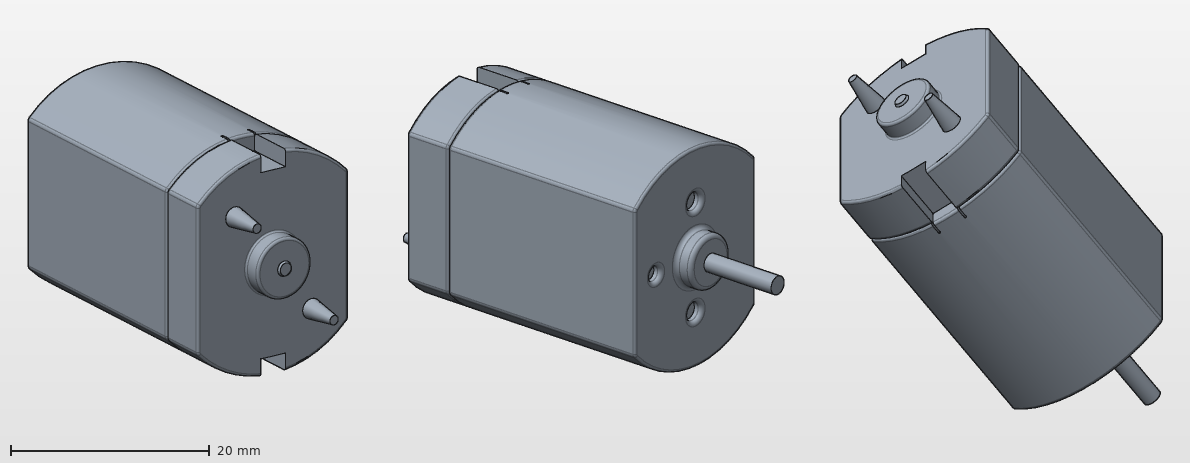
import cadquery as cq
import math


overall_length = 45.5

body_width = 18.4
body_height = 24.0
can_length = 25.0
cap_length = 5.5
edge_radius = 0.3
corner_height = 15.95
corner_radius = 0.6

shaft_radius = 1.0
shaft_reach = 11.0
pivot_radius = 0.8
pivot_tip_radius = 0.7
pivot_reach = 0.27

front_boss_radius = 3.0
front_boss_length = 2.05
front_boss_fillet = 0.5

rear_boss_radius = 3.28
rear_boss_length = 2.0
rear_boss_base_fillet = 0.2
rear_boss_edge_fillet = 0.3

screw_hole_offset = 6.0
screw_hole_radius = 1.0
locating_hole_radius = 0.8
hole_depth = 1.0
hole_lip_radius = 0.5

slot_width = 3.0
slot_floor_height = 10.0
slit_width = 0.2
slit_length = 1.3

terminal_y = 4.7
terminal_z = 5.9
terminal_base_radius = 1.1
terminal_tip_radius = 0.5

cap_rear = can_length + cap_length
slot_heights = ((-body_height, -slot_floor_height), (slot_floor_height, body_height))
rear_boss_end = cap_rear + rear_boss_length
terminal_length = overall_length - shaft_reach - cap_rear


def body_block(start, length):
    """Block with flat sides and arched top and bottom, all its edges rounded."""
    half_width = body_width / 2
    half_height = body_height / 2
    half_flat = corner_height / 2
    block = (
        cq.Workplane("YZ", origin=(start, 0, 0))
        .moveTo(-half_width, -half_flat)
        .threePointArc((0, -half_height), (half_width, -half_flat))
        .lineTo(half_width, half_flat)
        .threePointArc((0, half_height), (-half_width, half_flat))
        .close()
        .extrude(length)
    )
    return block.edges("|X").fillet(corner_radius).faces("<X or >X").edges().fillet(edge_radius)


def rod(start, end, radius):
    """Cylinder on the motor axis."""
    return cq.Workplane("YZ", origin=(start, 0, 0)).circle(radius).extrude(end - start)


def turned(half_profile):
    """Solid of revolution about X from a profile that ends on that axis."""
    return half_profile.close().revolve(360, (0, 0, 0), (1, 0, 0))


def lipped_hole(y, z, radius):
    """Cutter for a blind hole with a rounded lip in the seating face."""
    mouth = radius + hole_lip_radius
    bend = hole_lip_radius * (1 - math.sqrt(0.5))
    half_profile = (
        cq.Workplane("XZ")
        .lineTo(0, mouth)
        .threePointArc((bend, radius + bend), (hole_lip_radius, radius))
        .lineTo(hole_depth, radius)
        .lineTo(hole_depth, 0)
    )
    return turned(half_profile).translate((0, y, z))


def box_between(x, y, z):
    """Box spanning the given (low, high) pairs."""
    size = [high - low for low, high in (x, y, z)]
    return cq.Workplane("XY").box(*size, centered=False).translate((x[0], y[0], z[0]))


def edges_near(x):
    """Selector for the boss edges lying in the plane at the given X."""
    slack = 0.05
    reach = max(front_boss_radius, rear_boss_radius) + front_boss_fillet
    low = (x - slack, -reach, -reach)
    high = (x + slack, reach, reach)
    return cq.selectors.BoxSelector(low, high, boundingbox=True)


def make_shaft():
    """Shaft through the whole motor, stepped down to a pivot in the rear boss."""
    profile = [
        (-shaft_reach, 0),
        (-shaft_reach, shaft_radius),
        (cap_rear, shaft_radius),
        (cap_rear, pivot_radius),
        (rear_boss_end, pivot_radius),
        (rear_boss_end + pivot_reach, pivot_tip_radius),
        (rear_boss_end + pivot_reach, 0),
    ]
    return turned(cq.Workplane("XZ").polyline(profile))


def make_can(shaft):
    """Can with its front boss, mounting holes and the slits that free the latch tongues."""
    can = body_block(0, can_length)
    can = can.union(rod(-front_boss_length, edge_radius, front_boss_radius))
    can = can.edges(edges_near(0)).fillet(front_boss_fillet)
    can = can.faces("<X").edges().fillet(front_boss_fillet)
    for side in (-1, 1):
        can = can.cut(lipped_hole(0, side * screw_hole_offset, screw_hole_radius))
    can = can.cut(lipped_hole(screw_hole_offset, 0, locating_hole_radius))
    slit_inner = slot_width / 2
    slit_outer = slit_inner + slit_width
    for y in ((-slit_outer, -slit_inner), (slit_inner, slit_outer)):
        for z in slot_heights:
            can = can.cut(box_between((can_length - slit_length, can_length), y, z))
    return can.cut(shaft)


def make_end_cap(shaft):
    """End cap with its rear boss and the latch slots."""
    cap = body_block(can_length, cap_length)
    for z in slot_heights:
        cap = cap.cut(box_between((can_length, cap_rear), (-slot_width / 2, slot_width / 2), z))
    cap = cap.union(rod(cap_rear - edge_radius, rear_boss_end, rear_boss_radius))
    cap = cap.edges(edges_near(cap_rear)).fillet(rear_boss_base_fillet)
    cap = cap.faces(">X").edges().fillet(rear_boss_edge_fillet)
    return cap.cut(shaft)


def make_terminal(y, z):
    """Tapered terminal pin standing on the rear face of the end cap."""
    half_profile = (
        cq.Workplane("XZ")
        .lineTo(0, terminal_base_radius)
        .lineTo(terminal_length, terminal_tip_radius)
        .lineTo(terminal_length, 0)
    )
    return turned(half_profile).translate((cap_rear, y, z))


shaft = make_shaft()
can = make_can(shaft)
end_cap = make_end_cap(shaft)
terminals = [make_terminal(-side * terminal_y, side * terminal_z) for side in (1, -1)]

result = cq.Compound.makeCompound(
    [can.val(), end_cap.val(), shaft.val(), *[terminal.val() for terminal in terminals]]
)